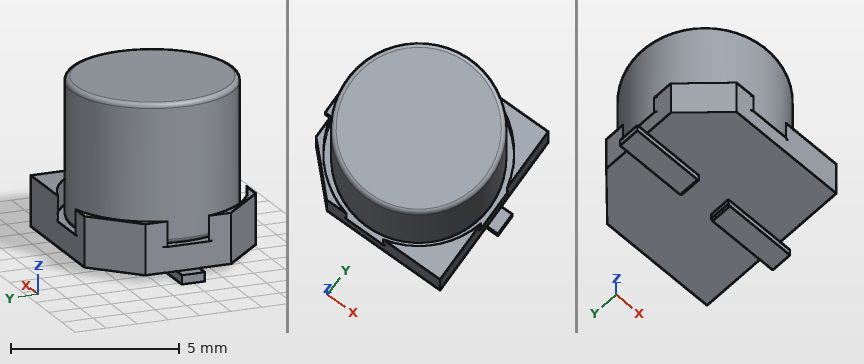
import cadquery as cq

OVERALL_LENGTH = 6.3
OVERALL_HEIGHT = 5.5

BASE_SIDE = 5.5
BASE_HEIGHT = 1.6
CORNER_CUT = BASE_SIDE / 4

RECESS_DIAMETER = 5.66
RECESS_DEPTH = 0.8

CAN_DIAMETER = 5.2
CAN_EDGE_RADIUS = 0.15

LEAD_THICKNESS = 0.29
LEAD_WIDTH = 0.74
LEAD_LENGTH = 2.545
LEAD_CHAMFER = 0.06

BASE_TOP = LEAD_THICKNESS + BASE_HEIGHT
RECESS_FLOOR = BASE_TOP - RECESS_DEPTH


def make_base():
    """Square block, corners cut on the -X side, with a round recess in its top."""
    block = (
        cq.Workplane("XY", origin=(0, 0, LEAD_THICKNESS))
        .rect(BASE_SIDE, BASE_SIDE)
        .extrude(BASE_HEIGHT)
        .edges("|Z and <X")
        .chamfer(CORNER_CUT)
    )
    recess = (
        cq.Workplane("XY", origin=(0, 0, RECESS_FLOOR))
        .circle(RECESS_DIAMETER / 2)
        .extrude(RECESS_DEPTH)
    )
    return block.cut(recess)


def make_can():
    """Cylinder with rounded rims, resting on the recess floor."""
    return (
        cq.Workplane("XY", origin=(0, 0, RECESS_FLOOR))
        .circle(CAN_DIAMETER / 2)
        .extrude(OVERALL_HEIGHT - RECESS_FLOOR)
        .edges()
        .fillet(CAN_EDGE_RADIUS)
    )


def make_lead(side):
    """Flat strip on the +X (side = 1) or -X (side = -1) end, inner lower edge chamfered."""
    center_x = side * (OVERALL_LENGTH - LEAD_LENGTH) / 2
    inner_edge = "<X" if side > 0 else ">X"
    return (
        cq.Workplane("XY", origin=(center_x, 0, 0))
        .rect(LEAD_LENGTH, LEAD_WIDTH)
        .extrude(LEAD_THICKNESS)
        .faces(inner_edge)
        .edges("<Z")
        .chamfer(LEAD_CHAMFER)
    )


base = make_base()
can = make_can()
leads = [make_lead(side) for side in (-1, 1)]

result = cq.Compound.makeCompound([base.val(), can.val(), *[lead.val() for lead in leads]])